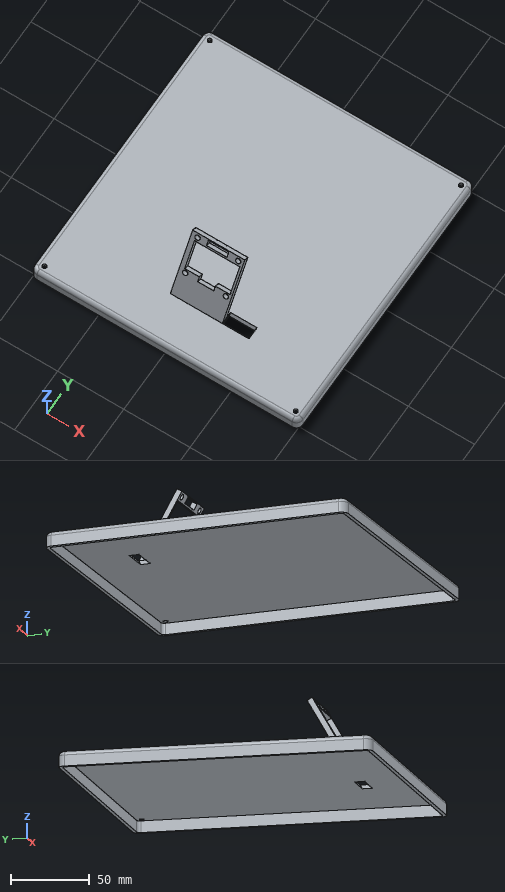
import cadquery as cq
import math

LID_X = 202.5
LID_Y = 205.0
LID_HEIGHT = 10.2
WALL = 2.7
CORNER_RADIUS = 5.0
TOP_FILLET = 3.0
SCREW_DIAMETER = 3.0
SCREW_INSET = 6.4

LEAN = 30.0
TOTAL_HEIGHT = 55.4
BRACKET_WIDTH = 39.4
BRACKET_THICKNESS = 4.0
BRACKET_CENTRE_X = 2.3
BRACKET_FOOT_Y = -69.0
BRACKET_LENGTH = (TOTAL_HEIGHT - LID_HEIGHT) / math.cos(math.radians(LEAN))
BRACKET_LEFT = BRACKET_CENTRE_X - BRACKET_WIDTH / 2
BRACKET_RIGHT = BRACKET_LEFT + BRACKET_WIDTH

WINDOW_LEFT = 3.5
WINDOW_WIDTH = 34.2
WINDOW_BOTTOM = 22.8
WINDOW_TOP = 45.5
NOTCH_WIDTH = 12.0
NOTCH_DEPTH = 3.9
HEADER_LEFT = 12.0
HEADER_WIDTH = 15.4
HEADER_BOTTOM = 47.0
HEADER_TOP = 51.2
MOUNT_DIAMETER = 3.7
MOUNT_LEFT = 4.7
MOUNT_BOTTOM = 19.9
MOUNT_PITCH_X = 30.8
MOUNT_PITCH_UP = 29.0

SLOT_LENGTH = 19.9
SLOT_WIDTH = 9.5


def make_slot():
    slope = WALL * math.tan(math.radians(LEAN))
    front = BRACKET_FOOT_Y
    back = front + SLOT_WIDTH
    below = LID_HEIGHT - WALL
    return (
        cq.Workplane("YZ", origin=(BRACKET_RIGHT, 0, 0))
        .polyline([
            (front, LID_HEIGHT),
            (back, LID_HEIGHT),
            (back - slope, below),
            (front + slope, below),
        ])
        .close()
        .extrude(SLOT_LENGTH)
    )


def make_lid():
    outer = (
        cq.Workplane("XY")
        .box(LID_X, LID_Y, LID_HEIGHT, centered=(True, True, False))
        .edges("|Z").fillet(CORNER_RADIUS)
        .faces(">Z").edges().fillet(TOP_FILLET)
    )
    hollow = (
        cq.Workplane("XY")
        .box(LID_X - 2 * WALL, LID_Y - 2 * WALL, LID_HEIGHT - WALL, centered=(True, True, False))
        .edges("|Z").fillet(CORNER_RADIUS - WALL)
    )
    screw_holes = (
        cq.Workplane("XY")
        .rect(LID_X - 2 * SCREW_INSET, LID_Y - 2 * SCREW_INSET, forConstruction=True)
        .vertices()
        .circle(SCREW_DIAMETER / 2)
        .extrude(LID_HEIGHT)
    )
    return outer.cut(hollow).cut(screw_holes).cut(make_slot())


def bracket_opening(left, width, bottom, top):
    """Rectangular opening through the upright bracket panel."""
    return (
        cq.Workplane("XY", origin=(left, 0, bottom))
        .box(width, BRACKET_THICKNESS, top - bottom, centered=False)
    )


def make_mount_holes():
    columns = (MOUNT_LEFT, MOUNT_LEFT + MOUNT_PITCH_X)
    rows = (MOUNT_BOTTOM, MOUNT_BOTTOM + MOUNT_PITCH_UP)
    return (
        cq.Workplane("XZ")
        .pushPoints([(x, z) for x in columns for z in rows])
        .circle(MOUNT_DIAMETER / 2)
        .extrude(-BRACKET_THICKNESS)
    )


def make_bracket():
    """Panel built upright with its front face on y = 0, then leaned back about its foot."""
    foot_rise = BRACKET_THICKNESS * math.tan(math.radians(LEAN))
    panel = (
        cq.Workplane("YZ")
        .polyline([
            (0, 0),
            (0, BRACKET_LENGTH),
            (BRACKET_THICKNESS, BRACKET_LENGTH),
            (BRACKET_THICKNESS, foot_rise),
        ])
        .close()
        .extrude(BRACKET_WIDTH)
    )
    window = bracket_opening(WINDOW_LEFT, WINDOW_WIDTH, WINDOW_BOTTOM, WINDOW_TOP)
    notch_left = WINDOW_LEFT + (WINDOW_WIDTH - NOTCH_WIDTH) / 2
    notch = bracket_opening(notch_left, NOTCH_WIDTH, WINDOW_BOTTOM - NOTCH_DEPTH, WINDOW_BOTTOM)
    header_slot = bracket_opening(HEADER_LEFT, HEADER_WIDTH, HEADER_BOTTOM, HEADER_TOP)
    return (
        panel.cut(window).cut(notch).cut(header_slot).cut(make_mount_holes())
        .rotate((0, 0, 0), (1, 0, 0), -LEAN)
        .translate((BRACKET_LEFT, BRACKET_FOOT_Y, LID_HEIGHT))
    )


lid = make_lid()
bracket = make_bracket()

result = cq.Compound.makeCompound([lid.solids().val(), bracket.solids().val()])